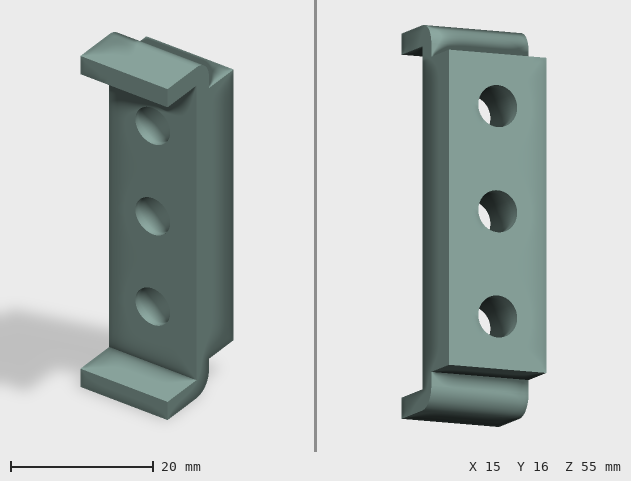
import cadquery as cq

length = 55.0
width = 15.0
depth = 16.0

sheet_thickness = 3.0
bend_radius = sheet_thickness
block_thickness = 6.0
block_length = 45.0

hole_diameter = 6.0
hole_pitch = 15.0
hole_count = 3

front_y = -depth / 2
back_y = depth / 2
web_back_y = back_y - block_thickness
web_front_y = web_back_y - sheet_thickness


def box_between(y_start, y_end, height):
    """Full-width box centred on X and Z, spanning the given Y range."""
    return cq.Workplane("XY").box(width, y_end - y_start, height).translate((0, (y_start + y_end) / 2, 0))


def make_bracket():
    """U-shaped bracket with rounded outer bends and sharp inner corners."""
    outer = box_between(front_y, web_back_y, length).edges(">Y and |X").fillet(bend_radius)
    opening = box_between(front_y, web_front_y, length - 2 * sheet_thickness)
    return outer.cut(opening)


def make_holes():
    """Row of cylinders along Z, running through the full depth."""
    return (
        cq.Workplane("XZ", origin=(0, back_y, 0))
        .rarray(0.55, hole_pitch, 1, hole_count)
        .circle(hole_diameter / 2)
        .extrude(depth)
    )


block = box_between(web_back_y, back_y, block_length)
result = make_bracket().union(block).cut(make_holes())